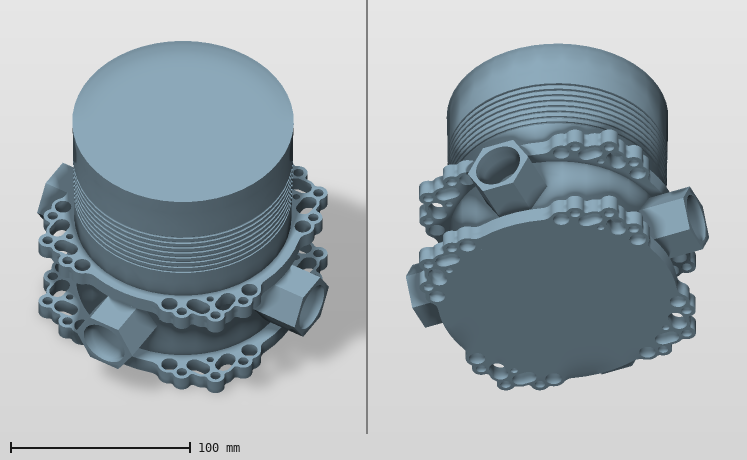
import cadquery as cq
import math

axis_point = (0, 0)

cup_height = 135.0
cup_bottom_radius = 59.5
cup_top_radius = 61.7
groove_count = 8
groove_width = 1.7
groove_band_height = 29.5
groove_band_bottom = 76.6
groove_floor_radius = 59.8
groove_clearance = 1.7
groove_pitch = (groove_band_height - groove_width) / (groove_count - 1)

flange_thickness = 8.9
upper_flange_bottom = 49.0
rim_radius = 67.0
large_hole_centre = (28.4, 60.8)
large_hole_radius = 4.5
large_boss_radius = 6.4
small_hole_centre = (37.3, 62.2)
corner_hole_centre = (54.8, 54.8)
small_hole_radius = 2.9
small_boss_radius = 5.0
slot_centre = (43.2, 54.1)
slot_straight = 5.2
slot_radius = 4.4
slot_rim_radius = 6.0
pin_hole_centre = (45.9, 45.9)
pin_hole_radius = 2.0
boss_fillet_radius = 1.8
rim_fillet_radius = 6.7

cross_span = 168.0
cross_height = 31.0
hex_across_corners = 36.6
bore_radius = 13.3
bore_depth = 23.5


def quarter_turns(shape):
    """Four copies of the shape, a quarter turn apart around the Z axis."""
    return [shape.rotate((0, 0, 0), (0, 0, 1), angle) for angle in (0, 90, 180, 270)]


def make_tapered_body():
    """Plain solid of revolution that widens slightly from bottom to top."""
    return (
        cq.Workplane("YZ")
        .polyline([(0, 0), (-cup_bottom_radius, 0), (-cup_top_radius, cup_height), (0, cup_height)])
        .close()
        .revolve(360, (0, 0), (0, 1))
    )


def make_groove(bottom):
    """Square-edged ring to remove from the cup wall, with a cylindrical floor."""
    clear_radius = cup_top_radius + groove_clearance
    return (
        cq.Workplane("YZ")
        .polyline(
            [
                (-groove_floor_radius, bottom),
                (-clear_radius, bottom),
                (-clear_radius, bottom + groove_width),
                (-groove_floor_radius, bottom + groove_width),
            ]
        )
        .close()
        .revolve(360, (0, 0), (0, 1))
    )


def make_cross():
    """Two hexagonal bars joined at the middle, corners level with the axis, bored from each end."""
    cross = None
    for plane in ("YZ", "XZ"):
        bar = (
            cq.Workplane(plane, origin=(0, 0, cross_height))
            .polygon(6, hex_across_corners)
            .extrude(cross_span / 2, both=True)
        )
        cross = bar if cross is None else cross.union(bar)
    bore = (
        cq.Workplane("YZ", origin=(cross_span / 2 - bore_depth, 0, cross_height))
        .circle(bore_radius)
        .extrude(bore_depth)
    )
    for turned_bore in quarter_turns(bore):
        cross = cross.cut(turned_bore)
    return cross


def make_cup(body, cross):
    """Tapered body with its grooves and the passage that the cross fills."""
    cup = body
    for index in range(groove_count):
        cup = cup.cut(make_groove(groove_band_bottom + index * groove_pitch))
    return cup.cut(cross)


def disc(centre, radius):
    """Round plate of the flange thickness."""
    return cq.Workplane("XY").center(*centre).circle(radius).extrude(flange_thickness)


def stadium(centre, straight, radius):
    """Plate with a straight middle along X and round ends."""
    return (
        cq.Workplane("XY")
        .center(*centre)
        .slot2D(straight + 2 * radius, 2 * radius)
        .extrude(flange_thickness)
    )


def prism(points):
    """Plate with a polygon outline."""
    return cq.Workplane("XY").polyline(points).close().extrude(flange_thickness)


def fillet_centre(first, first_radius, second, second_radius, radius):
    """Centre of a circle touching two circles from outside, on the left going from first to second."""
    span_x = second[0] - first[0]
    span_y = second[1] - first[1]
    span = math.hypot(span_x, span_y)
    first_reach = first_radius + radius
    second_reach = second_radius + radius
    along = (span**2 + first_reach**2 - second_reach**2) / (2 * span)
    across = math.sqrt(first_reach**2 - along**2)
    return (
        first[0] + (along * span_x - across * span_y) / span,
        first[1] + (along * span_y + across * span_x) / span,
    )


def valley(first, second, centre, radius):
    """Fill between two bosses, bounded outside by a concave arc about the fillet centre."""
    return prism([first, second, centre]).cut(disc(centre, radius))


def mirrored_pair(shape):
    """The shape and its mirror image across the vertical plane x = y."""
    return [shape, shape.mirror("YZ").rotate((0, 0, 0), (0, 0, 1), -90)]


def half_corner_bosses():
    """Bosses, concave blends and filling web of one corner, on the +Y side of its diagonal."""
    slot_end = (slot_centre[0] + slot_straight / 2, slot_centre[1])
    rim_blend = fillet_centre(axis_point, rim_radius, large_hole_centre, large_boss_radius, rim_fillet_radius)
    boss_blend = fillet_centre(
        large_hole_centre, large_boss_radius, small_hole_centre, small_boss_radius, boss_fillet_radius
    )
    corner_blend = fillet_centre(
        slot_end, slot_rim_radius, corner_hole_centre, small_boss_radius, boss_fillet_radius
    )
    slot_blend_y = slot_centre[1] + slot_rim_radius + boss_fillet_radius
    slot_blend_reach = small_boss_radius + boss_fillet_radius
    slot_blend_x = small_hole_centre[0] + math.sqrt(
        slot_blend_reach**2 - (slot_blend_y - small_hole_centre[1]) ** 2
    )
    slot_blend = (slot_blend_x, slot_blend_y)
    slot_foot = (slot_blend_x, slot_centre[1])
    return [
        disc(large_hole_centre, large_boss_radius),
        disc(small_hole_centre, small_boss_radius),
        stadium(slot_centre, slot_straight, slot_rim_radius),
        valley(axis_point, large_hole_centre, rim_blend, rim_fillet_radius),
        valley(large_hole_centre, small_hole_centre, boss_blend, boss_fillet_radius),
        valley(small_hole_centre, slot_foot, slot_blend, boss_fillet_radius),
        valley(slot_end, corner_hole_centre, corner_blend, boss_fillet_radius),
        prism([axis_point, large_hole_centre, small_hole_centre, slot_end, corner_hole_centre]),
    ]


def half_corner_holes():
    """Holes of one corner, on the +Y side of its diagonal."""
    return [
        disc(large_hole_centre, large_hole_radius),
        disc(small_hole_centre, small_hole_radius),
        stadium(slot_centre, slot_straight, slot_radius),
    ]


def make_flange_plate():
    """Round plate with a pierced cluster of bosses in each of its four corners."""
    corner = disc(corner_hole_centre, small_boss_radius)
    for part in half_corner_bosses():
        for copy in mirrored_pair(part):
            corner = corner.union(copy)
    corner_holes = [disc(corner_hole_centre, small_hole_radius), disc(pin_hole_centre, pin_hole_radius)]
    for hole in half_corner_holes():
        corner_holes.extend(mirrored_pair(hole))
    holes = cq.Workplane(cq.Compound.makeCompound([hole.val() for hole in corner_holes]))

    plate = disc(axis_point, rim_radius)
    for turned_corner in quarter_turns(corner):
        plate = plate.union(turned_corner)
    for turned_holes in quarter_turns(holes):
        plate = plate.cut(turned_holes)
    return plate


tapered_body = make_tapered_body()
cross = make_cross()
cup = make_cup(tapered_body, cross)

flange_plate = make_flange_plate()
flanges = []
for flange_bottom in (0, upper_flange_bottom):
    flange = flange_plate.translate((0, 0, flange_bottom)).cut(tapered_body)
    flanges.append(flange.solids().val())

result = cq.Compound.makeCompound([cup.solids().val(), cross.solids().val(), *flanges])